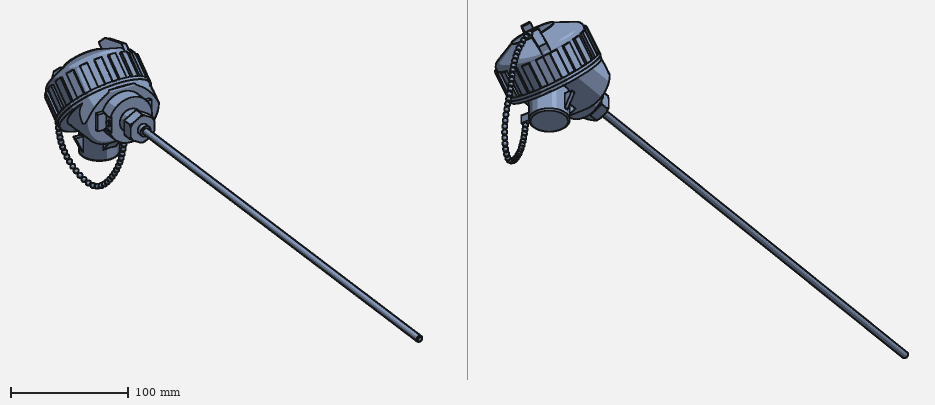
import cadquery as cq
import math


HEAD_TILT = math.radians(40)
HEAD_PLANE = cq.Plane(
    origin=(0, 0, 0),
    xDir=(math.sin(HEAD_TILT), 0, math.cos(HEAD_TILT)),
    normal=(-math.cos(HEAD_TILT), 0, math.sin(HEAD_TILT)),
)

CAP_RADIUS = 87.63 / 2
CAP_BOTTOM = -6.0
RING_TOP = -3.0
RIB_TOP = 21.0
SHOULDER_TOP = 27.3
CONE_TOP = 36.5
CAP_TOP = 37.0
RIB_DEPTH = 2.3
RIB_COUNT = 20
RIB_WIDTH = math.pi * CAP_RADIUS / RIB_COUNT
RIB_START_ANGLE = 90 / RIB_COUNT
SHOULDER_RADIUS = 38.8
CAP_FLAT_RADIUS = 20.2
SOCKET_RADIUS = 37.0
SOCKET_TOP = 15.0

LUG_ANGLES = (33, 213)
LUG_WIDTH = 8.0
LUG_TOP = 42.2
LUG_INNER = 22.0
LUG_SHOULDER = 29.3

RIM_RADIUS = 43.0
RIM_BOTTOM = -9.2
BODY_END = 34.8
BODY_WIDTH = 76.0
BODY_HEIGHT = 52.4
BODY_CORNER = 26.0
BODY_EDGE_FILLET = 3.5
WEB_BOTTOM = -37.5
WEB_LENGTH = 26.0
WEB_WIDTH = 12.0

ENTRY_X = -3.4
ENTRY_RADIUS = 17.5
ENTRY_BOTTOM = -54.0
ENTRY_CHAMFER = 1.5

COLLAR_RADIUS = 21.5
COLLAR_START = BODY_END / 2
COLLAR_END = 47.9
COLLAR_EAR_END = 38.5
COLLAR_EAR_SPAN = 54.0
COLLAR_EAR_HEIGHT = 16.0
TERMINAL_FLAT_Y = -18.5
TERMINAL_FLAT_HEIGHT = 14.5

ANCHOR_OUTER_Y = 28.0
ANCHOR_TOP = -38.0
ANCHOR_BOTTOM = -46.0
ANCHOR_THICKNESS = 4.0
GUSSET_TOP_Y = -25.0
GUSSET_TOP = -33.0
GUSSET_BOTTOM = -48.0
GUSSET_THICKNESS = 4.0

SCREW_X = 43.8
SCREW_HEAD_RADIUS = 2.5
SCREW_HEAD_HEIGHT = 2.0
SCREW_SHANK_RADIUS = 1.5
SCREW_SHANK_LENGTH = 6.0

GLAND_RADIUS = 10.7
GLAND_END = 57.2
NUT_ACROSS_FLATS = 24.0
NUT_END = 67.8
NUT_CHAMFER = 1.2
FERRULE_RADIUS = 5.0
FERRULE_END = 73.0
SHEATH_RADIUS = 3.0
SHEATH_END = 524.72
SHEATH_TIP_CHAMFER = 1.0

BEAD_RADIUS = 2.3
BEAD_PITCH = 5.0
CHAIN_WIRE_RADIUS = 1.0
CHAIN_PATH = [
    (-52, -14, 4.5),
    (-61, -6.5, -19),
    (-65.65, -3, -58),
    (-61, 6, -91),
    (-41, 16.7, -106.85),
    (-19, 22.2, -90),
    (-6.4, 24.7, -63),
    (ENTRY_X, 25, ANCHOR_BOTTOM - BEAD_RADIUS),
]


def head_cylinder(radius, bottom, top):
    """Cylinder on the head axis between two heights."""
    return cq.Workplane(HEAD_PLANE).workplane(offset=bottom).circle(radius).extrude(top - bottom)


def x_cylinder(radius, start, end):
    """Cylinder on the X axis."""
    return cq.Workplane("YZ").workplane(offset=start).circle(radius).extrude(end - start)


def x_tube(outer, start, end):
    """Cylinder on the X axis with a hole that fits the sheath."""
    return x_cylinder(outer, start, end).cut(x_cylinder(SHEATH_RADIUS, start, end))


def box_from(corner, size):
    """Box with its lowest corner at the given point."""
    return cq.Workplane("XY").box(*size, centered=False).translate(corner)


def make_cap_rib(index):
    """One grip rib, as wide as the gap to the next one."""
    crest = math.sqrt(CAP_RADIUS**2 - (RIB_WIDTH / 2) ** 2)
    root = CAP_RADIUS - 2 * RIB_DEPTH
    rib = (
        cq.Workplane("XY")
        .box(crest - root, RIB_WIDTH, RIB_TOP - RING_TOP, centered=(False, True, False))
        .translate((root, 0, RING_TOP))
        .rotate((0, 0, 0), (0, 0, 1), RIB_START_ANGLE + index * 360 / RIB_COUNT)
    )
    return rib.val().moved(HEAD_PLANE.location)


def make_cap_lug(angle):
    """Radial lug standing on the cone, with an outer end sloping at 45 degrees."""
    foot = RIB_TOP
    outer = CAP_RADIUS - RIB_DEPTH
    profile = [
        (LUG_INNER, foot),
        (LUG_INNER, LUG_TOP),
        (LUG_SHOULDER, LUG_TOP),
        (outer, LUG_TOP + LUG_SHOULDER - outer),
        (outer, foot),
    ]
    lug = cq.Workplane("XZ").polyline(profile).close().extrude(LUG_WIDTH / 2, both=True)
    return lug.rotate((0, 0, 0), (0, 0, 1), angle).val().moved(HEAD_PLANE.location)


def make_cap():
    valley = CAP_RADIUS - RIB_DEPTH
    profile = (
        cq.Workplane("XZ")
        .moveTo(0, CAP_TOP)
        .lineTo(CAP_FLAT_RADIUS, CAP_TOP)
        .lineTo(CAP_FLAT_RADIUS, CONE_TOP)
        .lineTo(SHOULDER_RADIUS, SHOULDER_TOP)
        .tangentArcPoint((valley, RIB_TOP), relative=False)
        .lineTo(valley, RING_TOP)
        .lineTo(CAP_RADIUS, RING_TOP)
        .lineTo(CAP_RADIUS, CAP_BOTTOM)
        .lineTo(0, CAP_BOTTOM)
        .close()
    )
    blank = profile.revolve(360, (0, 0, 0), (0, 1, 0)).val().moved(HEAD_PLANE.location)
    ribs = [make_cap_rib(index) for index in range(RIB_COUNT)]
    lugs = [make_cap_lug(angle) for angle in LUG_ANGLES]
    cap = cq.Workplane(blank.fuse(*ribs, *lugs))
    return cap.cut(head_cylinder(SOCKET_RADIUS, CAP_BOTTOM, SOCKET_TOP))


def make_housing():
    reach = 2 * BODY_WIDTH
    body = (
        cq.Workplane("YZ")
        .workplane(offset=BODY_END - reach)
        .rect(BODY_WIDTH, BODY_HEIGHT)
        .extrude(reach)
        .edges("|X")
        .fillet(BODY_CORNER)
        .faces(">X")
        .edges()
        .fillet(BODY_EDGE_FILLET)
    )
    body = body.intersect(head_cylinder(RIM_RADIUS, -reach, RIM_BOTTOM))

    web = cq.Workplane(HEAD_PLANE).workplane(offset=WEB_BOTTOM)
    web = web.center(-WEB_LENGTH / 2, 0).rect(WEB_LENGTH, WEB_WIDTH).extrude(RIM_BOTTOM - WEB_BOTTOM)

    entry = (
        cq.Workplane("XY")
        .workplane(offset=ENTRY_BOTTOM)
        .center(ENTRY_X, 0)
        .circle(ENTRY_RADIUS)
        .extrude(-ENTRY_BOTTOM)
        .faces("<Z")
        .chamfer(ENTRY_CHAMFER)
    )
    entry = entry.intersect(head_cylinder(reach, -reach, RIM_BOTTOM))

    anchor = box_from(
        (ENTRY_X - ANCHOR_THICKNESS / 2, 0, ANCHOR_BOTTOM),
        (ANCHOR_THICKNESS, ANCHOR_OUTER_Y, ANCHOR_TOP - ANCHOR_BOTTOM),
    )

    gusset = (
        cq.Workplane("YZ", origin=(ENTRY_X, 0, 0))
        .moveTo(0, GUSSET_TOP)
        .lineTo(GUSSET_TOP_Y, GUSSET_TOP)
        .lineTo(-ENTRY_RADIUS, GUSSET_BOTTOM)
        .lineTo(0, GUSSET_BOTTOM)
        .close()
        .extrude(GUSSET_THICKNESS / 2, both=True)
    )

    collar = x_cylinder(COLLAR_RADIUS, COLLAR_START, COLLAR_END)
    flat_tool = box_from(
        (COLLAR_EAR_END, TERMINAL_FLAT_Y - COLLAR_RADIUS, -TERMINAL_FLAT_HEIGHT / 2),
        (COLLAR_END - COLLAR_EAR_END, COLLAR_RADIUS, TERMINAL_FLAT_HEIGHT),
    )
    ears = box_from(
        (COLLAR_START, -COLLAR_EAR_SPAN / 2, -COLLAR_EAR_HEIGHT / 2),
        (COLLAR_EAR_END - COLLAR_START, COLLAR_EAR_SPAN, COLLAR_EAR_HEIGHT),
    )
    collar = collar.union(ears).cut(flat_tool)

    rim = head_cylinder(RIM_RADIUS, RIM_BOTTOM, CAP_BOTTOM)
    spigot = head_cylinder(SOCKET_RADIUS, CAP_BOTTOM, SOCKET_TOP)
    housing = body
    for part in (rim, web, entry, anchor, gusset, collar, spigot):
        housing = housing.union(part)
    return housing.cut(make_earth_screw())


def make_earth_screw():
    seat = cq.Workplane("XZ", origin=(SCREW_X, TERMINAL_FLAT_Y, 0))
    head = seat.circle(SCREW_HEAD_RADIUS).extrude(SCREW_HEAD_HEIGHT)
    shank = seat.circle(SCREW_SHANK_RADIUS).extrude(-SCREW_SHANK_LENGTH)
    return head.union(shank)


def make_gland_nut():
    across_corners = NUT_ACROSS_FLATS / math.cos(math.pi / 6)
    nut = (
        cq.Workplane("YZ")
        .workplane(offset=GLAND_END)
        .transformed(rotate=(0, 0, 90))
        .polygon(6, across_corners)
        .extrude(NUT_END - GLAND_END)
    )
    bevel = x_cylinder(across_corners / 2, GLAND_END, NUT_END).faces(">X").chamfer(NUT_CHAMFER)
    nut = nut.intersect(bevel)
    return nut.cut(x_cylinder(SHEATH_RADIUS, GLAND_END, NUT_END))


def make_chain():
    """Balls strung at equal steps along the hanging curve, joined by straight wire."""
    curve = cq.Edge.makeSpline([cq.Vector(*point) for point in CHAIN_PATH])
    steps = round(curve.Length() / BEAD_PITCH)
    centers = [curve.positionAt(index / steps) for index in range(steps + 1)]
    pieces = [
        cq.Solid.makeSphere(BEAD_RADIUS, angleDegrees1=-90, angleDegrees2=90).moved(cq.Location(center))
        for center in centers
    ]
    for start, end in zip(centers, centers[1:]):
        span = end - start
        pieces.append(cq.Solid.makeCylinder(CHAIN_WIRE_RADIUS, span.Length, start, span))
    return cq.Workplane(pieces[0].fuse(*pieces[1:]))


cap = make_cap()
housing = make_housing()
earth_screw = make_earth_screw()
gland = x_tube(GLAND_RADIUS, COLLAR_END, GLAND_END)
gland_nut = make_gland_nut()
ferrule = x_tube(FERRULE_RADIUS, NUT_END, FERRULE_END)
sheath = x_cylinder(SHEATH_RADIUS, COLLAR_END, SHEATH_END).faces(">X").chamfer(SHEATH_TIP_CHAMFER)
chain = make_chain()

bodies = [housing, cap, earth_screw, gland, gland_nut, ferrule, sheath, chain]
result = cq.Compound.makeCompound([body.val() for body in bodies])